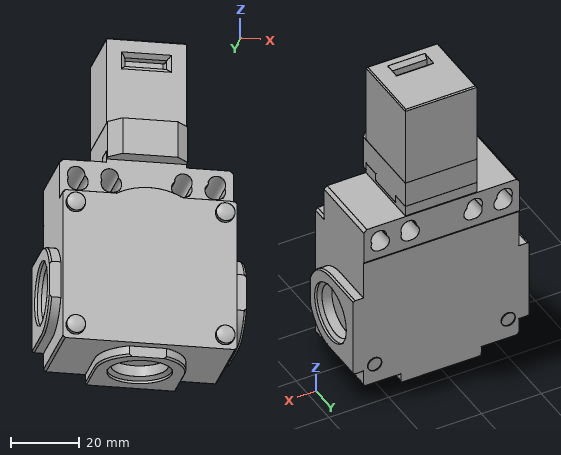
import cadquery as cq
import math

TOTAL_WIDTH = 59.0
TOTAL_DEPTH = 31.6
TOTAL_HEIGHT = 100.1

BODY_WIDTH = 52.1
BODY_BOTTOM = 3.2
BODY_BACK = 0.3
BACK_PLATE_BOTTOM = 48.8
SHOULDER_FRONT = 24.2
SHOULDER_TOP = 61.1
SHOULDER_CHAMFER = 1.0
COVER_FRONT = 29.4
COVER_TOP = 49.5
COVER_CORNER = 0.7
COVER_ARCH_HALF_CHORD = 10.0
COVER_ARCH_RISE = 2.5

NECK_WIDTH = 24.0
NECK_TOP = 62.1
RIB_TOP = 64.6
RIB_DEPTH = 6.0

BOSS_RADIUS = 13.5
BOSS_FRONT = 26.3
BOSS_AXIS_DEPTH = 14.0
BOSS_AXIS_Z = 22.4
BEVEL_RADIAL = 0.3
BEVEL_AXIAL = 0.7
BORE_MOUTH_RADIUS = 9.6
BORE_MOUTH_DEPTH = 0.8
BORE_CONE_DEPTH = 1.0
BORE_RADIUS = 8.4
BORE_DEPTH = 5.1

HOLE_RADIUS = 2.6
HOLE_OFFSETS = (11.0, 21.0)
HOLE_Z = 56.5
SLOT_SHIFT = 0.5
SLOT_TRAVEL = 0.9
SLOT_DROP = 2.1

SCREW_RADIUS = 2.8
SCREW_DOME = 0.8
SCREW_X = 22.3
SCREW_HEIGHTS = (7.3, 45.6)
FOOT_RADIUS = 2.3
FOOT_Z = 10.2

COLLAR_TOP = 73.2
COLLAR_FRONT = 29.7
COLLAR_CHAMFER = 3.8

HEAD_CHAMFER = 0.4
KEY_WIDTH = 12.4
KEY_THICKNESS = 2.7
KEY_LEAD_IN = 1.3
FRONT_KEY_Z = 93.3
TOP_KEY_DEPTH = 18.8


def block(width, back, front, bottom, top):
    """Box centred on X that fills the given ranges of depth and height."""
    return (
        cq.Workplane("XY")
        .box(width, front - back, top - bottom, centered=(True, False, False))
        .translate((0, -front, bottom))
    )


def mirrored(shape):
    """The shape together with its mirror image in X."""
    return shape.union(shape.mirror("YZ"))




def make_body():
    """Lower block and stepped-back shoulder, both with chamfered side edges."""
    lower = block(BODY_WIDTH, BODY_BACK, COVER_FRONT, BODY_BOTTOM, COVER_TOP)
    lower = lower.edges("|Y").chamfer(COVER_CORNER)
    shoulder = block(BODY_WIDTH, 0, SHOULDER_FRONT, BACK_PLATE_BOTTOM, SHOULDER_TOP)
    shoulder = shoulder.edges("|Y and >Z").chamfer(SHOULDER_CHAMFER)
    return lower.union(shoulder)


def make_cover_arch():
    """Shallow arch rising from the top edge of the cover."""
    return (
        cq.Workplane("XZ", origin=(0, -SHOULDER_FRONT, 0))
        .moveTo(-COVER_ARCH_HALF_CHORD, COVER_TOP)
        .threePointArc((0, COVER_TOP + COVER_ARCH_RISE), (COVER_ARCH_HALF_CHORD, COVER_TOP))
        .close()
        .extrude(COVER_FRONT - SHOULDER_FRONT)
    )


def make_neck():
    """Low neck with one raised rib along its back and one along its front."""
    neck = block(NECK_WIDTH, BODY_BACK, SHOULDER_FRONT, SHOULDER_TOP, NECK_TOP)
    for rib_back in (BODY_BACK, SHOULDER_FRONT - RIB_DEPTH):
        neck = neck.union(block(NECK_WIDTH, rib_back, rib_back + RIB_DEPTH, NECK_TOP, RIB_TOP))
    return neck


def make_boss():
    """Upright conduit boss with its face on Z = 0: D shape, bevelled rim, flattened front."""
    plain = (
        cq.Workplane("XY", origin=(0, -BOSS_AXIS_DEPTH, -BORE_DEPTH))
        .moveTo(-BOSS_RADIUS, 0)
        .threePointArc((0, -BOSS_RADIUS), (BOSS_RADIUS, 0))
        .lineTo(BOSS_RADIUS, 2 * BOSS_RADIUS)
        .lineTo(-BOSS_RADIUS, 2 * BOSS_RADIUS)
        .close()
        .extrude(BORE_DEPTH - BEVEL_AXIAL)
    )
    bevel_angle = math.degrees(math.atan2(BEVEL_RADIAL, BEVEL_AXIAL))
    boss = plain.faces(">Z").wires().toPending().extrude(BEVEL_AXIAL, taper=bevel_angle)
    return boss.intersect(block(2 * BOSS_RADIUS, BODY_BACK, BOSS_FRONT, -BORE_DEPTH, 0))


def make_bore():
    """Blind conduit bore below Z = 0: a wide mouth and a cone leading to the narrower bore."""
    bore_profile = [
        (0, 0),
        (BORE_MOUTH_RADIUS, 0),
        (BORE_MOUTH_RADIUS, -BORE_MOUTH_DEPTH),
        (BORE_RADIUS, -BORE_MOUTH_DEPTH - BORE_CONE_DEPTH),
        (BORE_RADIUS, -BORE_DEPTH),
        (0, -BORE_DEPTH),
    ]
    bore = cq.Workplane("XZ").polyline(bore_profile).close().revolve(360, (0, 0), (0, 1))
    return bore.translate((0, -BOSS_AXIS_DEPTH, 0))


def at_conduit_entries(shape):
    """Copies of an upright conduit shape, turned and moved to the left, right and lower entries."""
    entries = [
        (-90, (-TOTAL_WIDTH / 2, 0, BOSS_AXIS_Z)),
        (90, (TOTAL_WIDTH / 2, 0, BOSS_AXIS_Z)),
        (180, (0, 0, 0)),
    ]
    return [shape.rotate((0, 0, 0), (0, 1, 0), angle).translate(place) for angle, place in entries]


def make_mounting_holes():
    """Cutter for the four mounting holes, running through the full depth."""
    slot_length = SLOT_TRAVEL + 2 * HOLE_RADIUS
    hole_centres = [(x, HOLE_Z) for x in HOLE_OFFSETS]
    slot_centres = [(x - SLOT_SHIFT, HOLE_Z - SLOT_DROP) for x in HOLE_OFFSETS]
    face = cq.Workplane("XZ")
    holes = face.pushPoints(hole_centres).circle(HOLE_RADIUS).extrude(TOTAL_DEPTH)
    slots = face.pushPoints(slot_centres).slot2D(slot_length, 2 * HOLE_RADIUS).extrude(TOTAL_DEPTH)
    return mirrored(holes.union(slots))


def make_screw_heads():
    """Four cover screw heads: short cylinders closed by a shallow spherical dome."""
    dome_radius = (SCREW_RADIUS**2 + SCREW_DOME**2) / (2 * SCREW_DOME)
    dome_centre_y = dome_radius - TOTAL_DEPTH
    heads = cq.Workplane("XY")
    for height in SCREW_HEIGHTS:
        cylinder = (
            cq.Workplane("XZ", origin=(SCREW_X, -COVER_FRONT, height))
            .circle(SCREW_RADIUS)
            .extrude(TOTAL_DEPTH - COVER_FRONT)
        )
        dome = cq.Workplane("XY", origin=(SCREW_X, dome_centre_y, height)).sphere(dome_radius)
        heads = heads.add(cylinder.intersect(dome))
    return mirrored(heads.combine())


def make_feet():
    """Two low round feet that bring the lower block level with the back plate."""
    foot = cq.Workplane("XZ").center(SCREW_X, FOOT_Z).circle(FOOT_RADIUS).extrude(BODY_BACK)
    return mirrored(foot)


def make_housing():
    housing = make_body().union(make_cover_arch()).union(make_neck())
    for boss in at_conduit_entries(make_boss()):
        housing = housing.union(boss)
    for bore in at_conduit_entries(make_bore()):
        housing = housing.cut(bore)
    housing = housing.union(make_screw_heads()).union(make_feet())
    return housing.cut(make_mounting_holes())




def make_collar():
    """Block with chamfered front corners, notched underneath to sit over the neck ribs."""
    collar = block(NECK_WIDTH, BODY_BACK, COLLAR_FRONT, NECK_TOP, COLLAR_TOP)
    collar = collar.edges("|Z and <Y").chamfer(COLLAR_CHAMFER)
    return collar.cut(make_neck())




def make_front_opening():
    """Front keyway opening with a lead-in on all four sides, reaching back to the top opening."""
    half = KEY_THICKNESS / 2
    back = TOP_KEY_DEPTH - half
    slot = block(KEY_WIDTH, back, SHOULDER_FRONT, FRONT_KEY_Z - half, FRONT_KEY_Z + half)
    lead_in = (
        cq.Workplane("XZ", origin=(0, -SHOULDER_FRONT, FRONT_KEY_Z))
        .rect(KEY_WIDTH + 2 * KEY_LEAD_IN, KEY_THICKNESS + 2 * KEY_LEAD_IN)
        .extrude(-KEY_LEAD_IN, taper=45)
    )
    return slot.union(lead_in)


def make_top_opening():
    """Top keyway opening with a lead-in at front and back, reaching down to the front opening."""
    half = KEY_THICKNESS / 2
    bottom = FRONT_KEY_Z - half
    shoulder = TOTAL_HEIGHT - KEY_LEAD_IN
    profile = [
        (-half, bottom),
        (half, bottom),
        (half, shoulder),
        (half + KEY_LEAD_IN, TOTAL_HEIGHT),
        (-half - KEY_LEAD_IN, TOTAL_HEIGHT),
        (-half, shoulder),
    ]
    opening = cq.Workplane("YZ").polyline(profile).close().extrude(KEY_WIDTH / 2, both=True)
    return opening.translate((0, -TOP_KEY_DEPTH, 0))


def make_head():
    head = block(NECK_WIDTH, BODY_BACK, SHOULDER_FRONT, COLLAR_TOP, TOTAL_HEIGHT)
    head = head.faces(">Z").edges().chamfer(HEAD_CHAMFER)
    return head.cut(make_front_opening()).cut(make_top_opening())


housing = make_housing()
collar = make_collar()
head = make_head()

result = cq.Compound.makeCompound([housing.val(), collar.val(), head.val()])